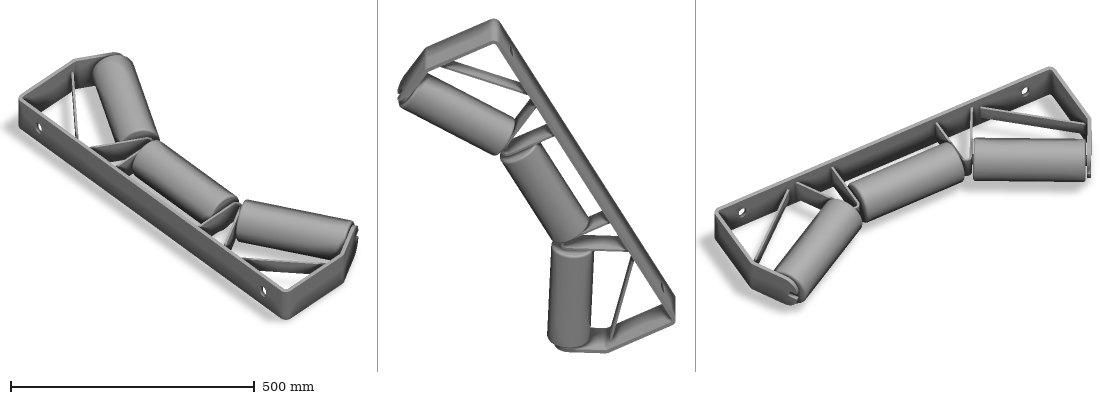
import cadquery as cq
import math


FRAME_LENGTH = 800.0
STRIP_WIDTH = 80.0
FRAME_THICKNESS = 8.0
BEND_RADIUS = 14.0
ARM_CORNER_Y = 165.0
ARM_LENGTH = 109.0
LEAN = 30.0
ARM_END_RADIUS = 30.0
MOUNT_SLOT_X = 333.0
MOUNT_SLOT_WIDTH = 18.0
MOUNT_SLOT_HEIGHT = 27.0

BRACKET_WIDTH = 50.0
BRACKET_THICKNESS = 5.0
BRACKET_X = 120.0
BRACKET_TOP_Y = 129.0
FOLD_RADIUS = 12.0
FOLD_TO_SIDE_AXLE = 13.0

BRACE_THICKNESS = 5.0
BRACE_HEIGHT = 30.0
BRACE_WALL_Y = 150.0
BRACE_BASE_X = 227.0

ROLLER_DIAMETER = 89.0
ROLLER_LENGTH = 230.0
ROLLER_EDGE_RADIUS = 5.0
MIDDLE_ROLLER_Y = 100.0
AXLE_DIAMETER = 22.0
SHOULDER_LENGTH = 2.0
AXLE_END_WIDTH = 16.0
AXLE_END_DEPTH = 20.0

lean = math.radians(LEAN)
wall_x = -FRAME_LENGTH / 2
half_roller = ROLLER_LENGTH / 2

up_arm = cq.Vector(math.sin(lean), math.cos(lean), 0)
outwards = cq.Vector(-math.cos(lean), math.sin(lean), 0)
up_y = cq.Vector(0, 1, 0)
up_z = cq.Vector(0, 0, 1)
right = cq.Vector(1, 0, 0)

fold_tangent = FOLD_RADIUS * math.tan((math.pi - lean) / 2)
fold_corner = cq.Vector(-BRACKET_X, BRACKET_TOP_Y - FOLD_RADIUS + fold_tangent, 0)
leg_axle = fold_corner - up_arm * (fold_tangent + FOLD_TO_SIDE_AXLE)

arm_corner = cq.Vector(wall_x, ARM_CORNER_Y, 0)
side_span = (arm_corner - leg_axle).dot(outwards) - FRAME_THICKNESS
side_center = leg_axle + outwards * (side_span / 2)
leg_reach = side_span / 2 + BRACKET_THICKNESS
arm_reach = side_span / 2 + FRAME_THICKNESS
arm_axle = side_center + outwards * arm_reach

middle_center = cq.Vector(0, MIDDLE_ROLLER_Y, 0)
upright_reach = BRACKET_X + BRACKET_THICKNESS


def plate(points, width):
    """Strip seen edge-on as an outline in XY, reaching equally above and below Z = 0."""
    outline = [(point.x, point.y) for point in points]
    return cq.Workplane("XY").polyline(outline).close().extrude(width / 2, both=True)


def round_bend(strip, outer, inner, outer_radius, thickness):
    """Round the outer and inner corner of one bend about a common centre."""
    strip = strip.edges(cq.NearestToPointSelector(outer.toTuple())).fillet(outer_radius)
    return strip.edges(cq.NearestToPointSelector(inner.toTuple())).fillet(outer_radius - thickness)


def make_roller(center, direction, start_reach, end_reach):
    """Roller on its axle, which reaches from the centre by start_reach and end_reach."""
    local = cq.Workplane(cq.Plane(center, up_z, direction))
    drum = local.workplane(offset=-half_roller).circle(ROLLER_DIAMETER / 2).extrude(ROLLER_LENGTH)
    drum = drum.edges().fillet(ROLLER_EDGE_RADIUS)
    shoulder_reach = half_roller + SHOULDER_LENGTH
    shoulders = local.circle(AXLE_DIAMETER / 2).extrude(shoulder_reach, both=True)

    axle_start = local.workplane(offset=-start_reach)
    axle_length = start_reach + end_reach
    axle = axle_start.circle(AXLE_DIAMETER / 2).extrude(axle_length)
    squared = axle_start.rect(AXLE_END_WIDTH, AXLE_END_DEPTH).extrude(axle_length)
    return drum.union(shoulders).union(axle.intersect(squared))


def make_frame(side_roller):
    base_corner = cq.Vector(wall_x, 0, 0)
    base_inner = base_corner + cq.Vector(FRAME_THICKNESS, FRAME_THICKNESS, 0)
    arm_tip = arm_corner + up_arm * ARM_LENGTH
    arm_inner = arm_corner + cq.Vector(FRAME_THICKNESS, -FRAME_THICKNESS * math.tan(lean / 2), 0)
    tip_inner = arm_tip - outwards * FRAME_THICKNESS
    middle_back = cq.Vector(0, 0, 0)
    middle_inner = cq.Vector(0, FRAME_THICKNESS, 0)
    half = plate(
        [middle_back, base_corner, arm_corner, arm_tip, tip_inner, arm_inner, base_inner, middle_inner],
        STRIP_WIDTH,
    )
    half = round_bend(half, base_corner, base_inner, BEND_RADIUS, FRAME_THICKNESS)
    half = round_bend(half, arm_corner, arm_inner, BEND_RADIUS, FRAME_THICKNESS)

    for side_z in (-STRIP_WIDTH / 2, STRIP_WIDTH / 2):
        tip_edge = (arm_tip + tip_inner) * 0.5 + up_z * side_z
        half = half.edges(cq.NearestToPointSelector(tip_edge.toTuple())).fillet(ARM_END_RADIUS)

    slot_plane = cq.Workplane(cq.Plane(arm_axle, up_arm, outwards * -1))
    slot = slot_plane.center(ARM_LENGTH / 2, 0).rect(ARM_LENGTH, AXLE_END_WIDTH).extrude(FRAME_THICKNESS)
    half = half.cut(slot).cut(side_roller)

    mount_slot = (
        cq.Workplane("XZ")
        .center(-MOUNT_SLOT_X, 0)
        .slot2D(MOUNT_SLOT_HEIGHT, MOUNT_SLOT_WIDTH, 90)
        .extrude(-FRAME_THICKNESS)
    )
    half = half.cut(mount_slot)
    return half.union(half.mirror("YZ"))


def make_bracket(middle_roller, side_roller):
    upright_foot = cq.Vector(-BRACKET_X, FRAME_THICKNESS, 0)
    upright_foot_inner = upright_foot - right * BRACKET_THICKNESS
    leg_length = (fold_corner.y - FRAME_THICKNESS) / math.cos(lean)
    sloping_foot = fold_corner - up_arm * leg_length
    sloping_foot_inner = sloping_foot + right * (BRACKET_THICKNESS / math.cos(lean))
    fold_drop = BRACKET_THICKNESS / math.tan(lean / 2)
    fold_inner = fold_corner - cq.Vector(BRACKET_THICKNESS, fold_drop, 0)
    bracket = plate(
        [upright_foot, fold_corner, sloping_foot, sloping_foot_inner, fold_inner, upright_foot_inner],
        BRACKET_WIDTH,
    )
    bracket = round_bend(bracket, fold_corner, fold_inner, FOLD_RADIUS, BRACKET_THICKNESS)
    return bracket.cut(middle_roller).cut(side_roller)


def make_brace():
    wall_end = cq.Vector(wall_x + FRAME_THICKNESS, BRACE_WALL_Y, 0)
    base_end = cq.Vector(-BRACE_BASE_X, FRAME_THICKNESS, 0)
    along = (base_end - wall_end).normalized()
    across = cq.Vector(-along.y, along.x, 0)
    wall_rise = up_y * (BRACE_THICKNESS / along.x)
    return plate([wall_end, base_end, base_end + across * BRACE_THICKNESS, wall_end + wall_rise], BRACE_HEIGHT)


middle_roller = make_roller(middle_center, right, upright_reach, upright_reach)
side_roller = make_roller(side_center, outwards, leg_reach, arm_reach)
frame = make_frame(side_roller)
bracket = make_bracket(middle_roller, side_roller)
brace = make_brace()

bodies = [frame.val(), middle_roller.val()]
for side_body in (side_roller, bracket, brace):
    bodies.append(side_body.val())
    bodies.append(side_body.mirror("YZ").val())

result = cq.Compound.makeCompound(bodies)